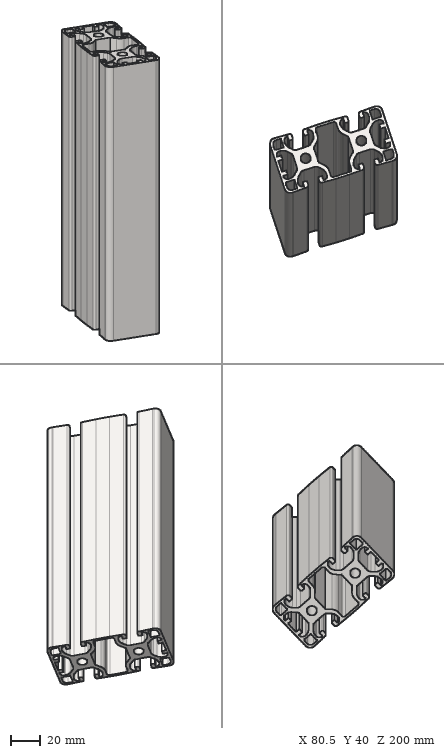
import cadquery as cq
import math

LENGTH = 200.0
WIDTH = 80.5
DEPTH = 40.0
CELL_PITCH = 40.0
CORNER_RADIUS = 4.0
WALL = 1.7
BORE_DIAMETER = 6.8

CELL_X = CELL_PITCH / 2
FACE = DEPTH / 2
INNER_FACE = FACE - WALL

CORE_HALF = 7.5
WEB_OFFSET = 2.2
WEB_BLEND_RADIUS = 6.5
CORE_BLEND_RADIUS = 3.5

SLOT_HALF_OPENING = 4.0
LIP_WIDTH = 3.0
LIP_END = 15.2
LIP_OUTER_RADIUS = 1.5
LIP_INNER_RADIUS = 0.8
SLOT_HALF_WIDTH = 10.2
SLOT_SHOULDER_RADIUS = 2.8
LIP_SLOPE_START = 15.2
LIP_SLOPE_DROP = 0.5

CORNER_CAVITY_START = 11.8
CORNER_CAVITY_RADIUS = 3.0
CORNER_CAVITY_END_RADIUS = 1.0

CAVITY_HALF_WIDTH = 7.5
CAVITY_CORNER_RADIUS = 1.5


def rounded_prism(corners):
    """Extrude a closed outline of (x, y, radius) corners; radius 0 is sharp."""
    outline = []
    for i, (x, y, radius) in enumerate(corners):
        here = cq.Vector(x, y)
        before = cq.Vector(*corners[i - 1][:2])
        after = cq.Vector(*corners[(i + 1) % len(corners)][:2])
        if radius == 0:
            outline.append((here,))
            continue
        to_before = (before - here).normalized()
        to_after = (after - here).normalized()
        half_angle = to_before.getAngle(to_after) / 2
        tangent_length = radius / math.tan(half_angle)
        middle_distance = radius / math.sin(half_angle) - radius
        outline.append((
            here + to_before * tangent_length,
            here + (to_before + to_after).normalized() * middle_distance,
            here + to_after * tangent_length,
        ))

    wire = cq.Workplane("XY").moveTo(*outline[0][0].toTuple()[:2])
    for i, points in enumerate(outline):
        if i > 0:
            wire = wire.lineTo(*points[0].toTuple()[:2])
        if len(points) == 3:
            wire = wire.threePointArc(points[1].toTuple()[:2], points[2].toTuple()[:2])
    return wire.close().extrude(LENGTH)


def mirrored_outline(half):
    """Complete a half outline with its mirror image across the Y axis."""
    return half + [(-x, y, radius) for x, y, radius in reversed(half)]


def slot_prism(mouth):
    """T-slot pointing to +Y from a cell centre, with the given mouth corners."""
    lip_back = SLOT_HALF_OPENING + LIP_WIDTH
    half = mouth + [
        (lip_back, LIP_END, 0),
        (lip_back, INNER_FACE, 0),
        (SLOT_HALF_WIDTH, INNER_FACE, SLOT_SHOULDER_RADIUS),
        (SLOT_HALF_WIDTH, SLOT_HALF_WIDTH + WEB_OFFSET, WEB_BLEND_RADIUS),
        (CORE_HALF - WEB_OFFSET, CORE_HALF, CORE_BLEND_RADIUS),
    ]
    return rounded_prism(mirrored_outline(half))


def open_slot():
    """Slot open to the outside, including the sloped faces of its lips."""
    return slot_prism([
        (LIP_SLOPE_START, FACE, 0),
        (SLOT_HALF_OPENING, FACE - LIP_SLOPE_DROP, LIP_OUTER_RADIUS),
        (SLOT_HALF_OPENING, LIP_END, LIP_INNER_RADIUS),
    ])


def closed_slot():
    """Slot sealed by the outer wall."""
    return slot_prism([
        (SLOT_HALF_OPENING, INNER_FACE, 0),
        (SLOT_HALF_OPENING, LIP_END, 0),
    ])


def corner_cavity():
    """Hollow in the +X +Y corner of a cell."""
    return rounded_prism([
        (CORNER_CAVITY_START, CORNER_CAVITY_START, 0),
        (INNER_FACE, CORNER_CAVITY_START, CORNER_CAVITY_END_RADIUS),
        (INNER_FACE, INNER_FACE, CORNER_CAVITY_RADIUS),
        (CORNER_CAVITY_START, INNER_FACE, 0),
    ])


def middle_cavity():
    """Cavity between the cells, widest between the faces of the two cores."""
    core_side = CELL_X - CORE_HALF
    web_start = CORE_HALF - WEB_OFFSET
    web_end = CELL_X - CAVITY_HALF_WIDTH - WEB_OFFSET
    half = [
        (CAVITY_HALF_WIDTH, INNER_FACE, CAVITY_CORNER_RADIUS),
        (CAVITY_HALF_WIDTH, web_end, WEB_BLEND_RADIUS),
        (core_side, web_start, 0),
        (core_side, -web_start, 0),
        (CAVITY_HALF_WIDTH, -web_end, WEB_BLEND_RADIUS),
        (CAVITY_HALF_WIDTH, -INNER_FACE, CAVITY_CORNER_RADIUS),
    ]
    return rounded_prism(mirrored_outline(half))


def cell_cuts():
    """Everything removed from the +X cell, apart from the middle cavity."""
    upper_slot = open_slot()
    end_slot = closed_slot().rotate((0, 0, 0), (0, 0, 1), -90)
    upper_corner = corner_cavity()
    bore = cq.Workplane("XY").circle(BORE_DIAMETER / 2).extrude(LENGTH)
    cuts = [
        upper_slot,
        upper_slot.mirror("XZ"),
        end_slot,
        upper_corner,
        upper_corner.mirror("XZ"),
        bore,
    ]
    return [cut.translate((CELL_X, 0, 0)) for cut in cuts]


result = cq.Workplane("XY").rect(WIDTH, DEPTH).extrude(LENGTH)
result = result.edges("|Z").fillet(CORNER_RADIUS)
result = result.cut(middle_cavity())
for cell_cut in cell_cuts():
    result = result.cut(cell_cut)
    result = result.cut(cell_cut.mirror("YZ"))